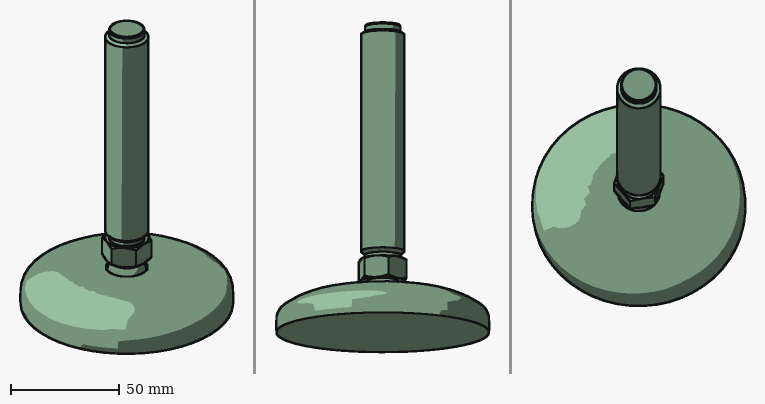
import cadquery as cq
import math

foot_diameter = 98.6
rim_edge_diameter = 98.2
rim_widest_height = 2.7
shoulder_start_height = 6.3
shoulder_radius = 6.0
dome_flat_diameter = 44.4
dome_top = 19.0

neck_diameter = 14.3
ball_diameter = 18.3
ball_top = 22.0
socket_diameter = 19.2

nut_bottom = 24.2
nut_height = 10.1
nut_width_across_flats = 20.0
nut_chamfer_angle = 30
nut_sides = 6

stud_diameter = 20.0
stud_core_diameter = 16.5
stud_start = 38.0
stud_runout_height = 1.7
stud_end = 139.9
tip_taper_height = 1.2
tip_chamfer_width = 0.5
tip_chamfer_height = 0.7
total_height = 144.2

nut_top = nut_bottom + nut_height

ball_center_z = ball_top - math.sqrt((ball_diameter / 2) ** 2 - (neck_diameter / 2) ** 2)


def make_foot():
    """Solid plate with a domed top, a rounded shoulder and a round socket for the ball."""
    flat_r = dome_flat_diameter / 2
    rim_r = rim_edge_diameter / 2
    shoulder_center_r = rim_r - shoulder_radius

    run = shoulder_center_r - flat_r
    rise = dome_top - shoulder_start_height - shoulder_radius
    dome_radius = shoulder_radius + (run**2 + rise**2) / (2 * rise)
    dome_center_z = dome_top - dome_radius
    join_angle = math.atan2(shoulder_start_height - dome_center_z, run)

    def on_dome(angle):
        return (flat_r + dome_radius * math.cos(angle), dome_center_z + dome_radius * math.sin(angle))

    shoulder_mid_angle = join_angle / 2
    shoulder_mid = (
        shoulder_center_r + shoulder_radius * math.cos(shoulder_mid_angle),
        shoulder_start_height + shoulder_radius * math.sin(shoulder_mid_angle),
    )
    dome_mid = on_dome((join_angle + math.pi / 2) / 2)
    plate = (
        cq.Workplane("XZ")
        .lineTo(rim_r, 0)
        .lineTo(foot_diameter / 2, rim_widest_height)
        .lineTo(rim_r, shoulder_start_height)
        .threePointArc(shoulder_mid, on_dome(join_angle))
        .threePointArc(dome_mid, (flat_r, dome_top))
        .lineTo(0, dome_top)
        .close()
        .revolve(360, (0, 0, 0), (0, 1, 0))
    )
    socket = (
        cq.Workplane("XY", origin=(0, 0, ball_center_z))
        .circle(socket_diameter / 2)
        .extrude(dome_top - ball_center_z)
    )
    return plate.cut(socket)


def make_stem():
    """Upper half of the ball, neck, stud core, stud and tip as one turned piece."""
    ball_r = ball_diameter / 2
    neck_r = neck_diameter / 2
    core_r = stud_core_diameter / 2
    stud_r = stud_diameter / 2
    ball_mid_angle = math.acos(neck_r / ball_r) / 2
    ball_mid = (ball_r * math.cos(ball_mid_angle), ball_center_z + ball_r * math.sin(ball_mid_angle))
    return (
        cq.Workplane("XZ")
        .moveTo(0, ball_center_z)
        .lineTo(ball_r, ball_center_z)
        .threePointArc(ball_mid, (neck_r, ball_top))
        .lineTo(neck_r, nut_top)
        .lineTo(core_r, nut_top)
        .lineTo(core_r, stud_start - stud_runout_height)
        .lineTo(stud_r, stud_start)
        .lineTo(stud_r, stud_end)
        .lineTo(core_r, stud_end + tip_taper_height)
        .lineTo(core_r, total_height - tip_chamfer_height)
        .lineTo(core_r - tip_chamfer_width, total_height)
        .lineTo(0, total_height)
        .close()
        .revolve(360, (0, 0, 0), (0, 1, 0))
    )


def make_nut():
    """Hexagon with flats facing +X and -X, corners chamfered at both ends."""
    flat_r = nut_width_across_flats / 2
    half_side_angle = 180 / nut_sides
    corner_r = flat_r / math.cos(math.radians(half_side_angle))
    chamfer_height = (corner_r - flat_r) * math.tan(math.radians(nut_chamfer_angle))
    hexagon = (
        cq.Workplane("XY", origin=(0, 0, nut_bottom))
        .transformed(rotate=(0, 0, half_side_angle))
        .polygon(nut_sides, 2 * corner_r)
        .extrude(nut_height)
    )
    envelope = (
        cq.Workplane("XY", origin=(0, 0, nut_bottom))
        .circle(corner_r)
        .extrude(nut_height)
        .faces("<Z or >Z")
        .chamfer(chamfer_height, corner_r - flat_r)
    )
    return hexagon.intersect(envelope)


result = make_foot().union(make_stem()).union(make_nut())